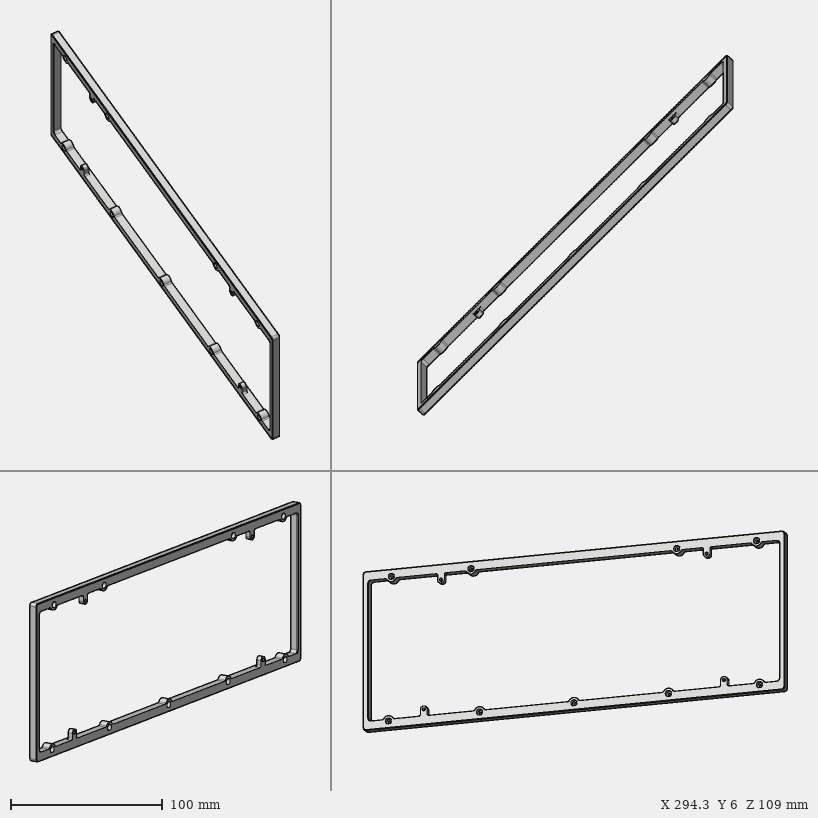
import cadquery as cq

LENGTH = 294.3
HEIGHT = 109.0
DEPTH = 6.0
RAIL_WALL = 6.2
SIDE_WALL = 3.8
CORNER_RADIUS = 2.0
EDGE_CHAMFER = 0.5

BOSS_DIAMETER = 7.5
BOSS_INSET = 5.0
BOSS_HOLE_DIAMETER = 4.0
BOSS_HOLE_DEPTH = 3.2
PILOT_DIAMETER = 2.0
PILOT_END_DEPTH = 4.0
TOP_BOSS_SPACINGS = (71.8, 127.5)
BOTTOM_BOSS_SPACINGS = (66.0, 129.5)

TAB_WIDTH = 4.7
TAB_THICKNESS = 3.5
TAB_HOLE_DIAMETER = 2.0
TAB_INSET = 10.5
TOP_TAB_SPACING = 92.7
BOTTOM_TAB_SPACING = 104.8

ROOT_FILLET = 1.2
ROOT_MARGIN = 0.3

FRONT_Y = -DEPTH / 2
WINDOW_LENGTH = LENGTH - 2 * SIDE_WALL
WINDOW_HEIGHT = HEIGHT - 2 * RAIL_WALL
RAIL_EDGE_Z = WINDOW_HEIGHT / 2
BOSS_Z = HEIGHT / 2 - BOSS_INSET
TAB_Z = HEIGHT / 2 - TAB_INSET

TOP = 1
BOTTOM = -1


def mirrored(spacings, side):
    """(x, side) places at plus and minus each distance from the centre of a rail."""
    return [(sign * x, side) for x in spacings for sign in (-1, 1)]


def front_plane():
    """Sketch plane on the front face, with its normal pointing into the part."""
    return cq.Plane(origin=(0, FRONT_Y, 0), xDir=(-1, 0, 0), normal=(0, 1, 0))


def cylinder(x, z, diameter, depth):
    """Cylinder running back from the front face."""
    return cq.Workplane(front_plane()).center(-x, z).circle(diameter / 2).extrude(depth)


def rounded_outline(length, height):
    return cq.Sketch().rect(length, height).vertices().fillet(CORNER_RADIUS)


def rounded_block(length, height):
    return cq.Workplane(front_plane()).placeSketch(rounded_outline(length, height)).extrude(DEPTH)


def side_bevels():
    """Cutter that bevels the front edges of the window along its two short sides."""
    front = rounded_outline(WINDOW_LENGTH + 2 * EDGE_CHAMFER, WINDOW_HEIGHT)
    back = rounded_outline(WINDOW_LENGTH, WINDOW_HEIGHT)
    back = back.moved(cq.Location(cq.Vector(0, 0, EDGE_CHAMFER)))
    return cq.Workplane(front_plane()).placeSketch(front, back).loft()


def frame():
    """Chamfered outer block with the rounded window cut through it."""
    block = rounded_block(LENGTH, HEIGHT).faces("<Y or >Y").chamfer(EDGE_CHAMFER)
    return block.cut(rounded_block(WINDOW_LENGTH, WINDOW_HEIGHT)).cut(side_bevels())


def boss(x, side):
    return cylinder(x, side * BOSS_Z, BOSS_DIAMETER, DEPTH)


def boss_hole(x, side):
    z = side * BOSS_Z
    wide_hole = cylinder(x, z, BOSS_HOLE_DIAMETER, BOSS_HOLE_DEPTH)
    return wide_hole.union(cylinder(x, z, PILOT_DIAMETER, PILOT_END_DEPTH))


def tab(x, side):
    """Straight leg rooted in the rail, closed by a half-round end around the hole."""
    root_z = (HEIGHT - RAIL_WALL) / 2
    leg = cq.Workplane(front_plane()).center(-x, side * (root_z + TAB_Z) / 2)
    leg = leg.rect(TAB_WIDTH, root_z - TAB_Z).extrude(TAB_THICKNESS)
    return leg.union(cylinder(x, side * TAB_Z, TAB_WIDTH, TAB_THICKNESS))


def tab_hole(x, side):
    return cylinder(x, side * TAB_Z, TAB_HOLE_DIAMETER, TAB_THICKNESS)


def root_zone(x, side):
    """Selector for the two corners where a boss or tab leaves the rail."""
    edge_z = side * RAIL_EDGE_Z
    low_corner = (x - BOSS_DIAMETER, -DEPTH, edge_z - ROOT_MARGIN)
    high_corner = (x + BOSS_DIAMETER, DEPTH, edge_z + ROOT_MARGIN)
    return cq.selectors.BoxSelector(low_corner, high_corner)


bosses = mirrored(TOP_BOSS_SPACINGS, TOP) + mirrored(BOTTOM_BOSS_SPACINGS, BOTTOM) + [(0, BOTTOM)]
tabs = mirrored([TOP_TAB_SPACING], TOP) + mirrored([BOTTOM_TAB_SPACING], BOTTOM)

result = frame()
for place in bosses:
    result = result.union(boss(*place))
for place in tabs:
    result = result.union(tab(*place))
for place in bosses + tabs:
    result = result.edges(root_zone(*place)).edges("|Y").fillet(ROOT_FILLET)
for place in bosses:
    result = result.cut(boss_hole(*place))
for place in tabs:
    result = result.cut(tab_hole(*place))